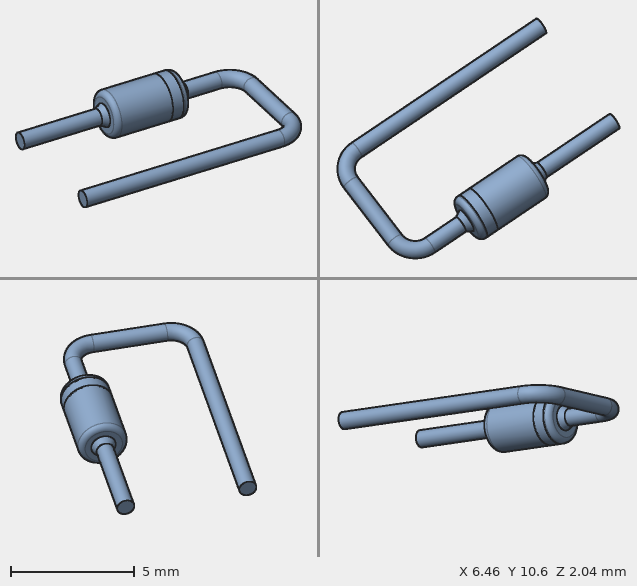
import cadquery as cq


LENGTH = 10.58
LEAD_DIAMETER = 0.72
LEAD_PITCH = 5.08
BEND_RADIUS = 1.0

HOUSING_DIAMETER = 2.04
HOUSING_LENGTH = 3.46
HOUSING_START = 3.91
EDGE_FILLET = 0.24
COLLAR_LENGTH = 0.29

BAND_WIDTH = 0.51
BAND_DEPTH = 0.05
BAND_GAP = 0.06

lead_radius = LEAD_DIAMETER / 2
housing_radius = HOUSING_DIAMETER / 2
collar_radius = housing_radius / 2
housing_end = HOUSING_START + HOUSING_LENGTH
front_collar_tip = HOUSING_START - COLLAR_LENGTH
rear_collar_tip = housing_end + COLLAR_LENGTH
band_end = housing_end - EDGE_FILLET - BAND_GAP
band_start = band_end - BAND_WIDTH
crossbar_y = LENGTH - lead_radius


def cylinder_along_y(radius, start, end):
    """Cylinder on the housing axis from Y = start to Y = end."""
    return cq.Workplane("XZ", origin=(0, start, 0)).circle(radius).extrude(start - end)


def make_band():
    """Ring that fills the groove in the housing."""
    outer = cylinder_along_y(housing_radius, band_start, band_end)
    inner = cylinder_along_y(housing_radius - BAND_DEPTH, band_start, band_end)
    return outer.cut(inner)


def make_housing(band):
    """Rounded barrel with a tapered collar at each end and a groove for the band."""
    barrel = cylinder_along_y(housing_radius, HOUSING_START, housing_end)
    barrel = barrel.faces("<Y or >Y").edges().fillet(EDGE_FILLET)
    collars = (
        cq.Workplane("XY")
        .moveTo(0, front_collar_tip)
        .lineTo(lead_radius, front_collar_tip)
        .lineTo(collar_radius, HOUSING_START)
        .lineTo(collar_radius, housing_end)
        .lineTo(lead_radius, rear_collar_tip)
        .lineTo(0, rear_collar_tip)
        .close()
        .revolve(360, (0, 0, 0), (0, 1, 0))
    )
    return barrel.union(collars).cut(band)


def make_straight_lead():
    """Short lead from its free tip to the front collar."""
    return cylinder_along_y(lead_radius, 0, front_collar_tip)


def make_bent_lead():
    """Lead that leaves the rear collar and turns back beside the housing."""
    bend_start = crossbar_y - BEND_RADIUS
    path = (
        cq.Workplane("XY")
        .moveTo(0, rear_collar_tip)
        .lineTo(0, bend_start)
        .radiusArc((BEND_RADIUS, crossbar_y), BEND_RADIUS)
        .lineTo(LEAD_PITCH - BEND_RADIUS, crossbar_y)
        .radiusArc((LEAD_PITCH, bend_start), BEND_RADIUS)
        .lineTo(LEAD_PITCH, 0)
    )
    section = cq.Workplane("XZ", origin=(0, rear_collar_tip, 0)).circle(lead_radius)
    return section.sweep(path)


marking_band = make_band()
housing = make_housing(marking_band)
straight_lead = make_straight_lead()
bent_lead = make_bent_lead()

result = cq.Compound.makeCompound(
    [housing.val(), marking_band.val(), straight_lead.val(), bent_lead.val()]
)